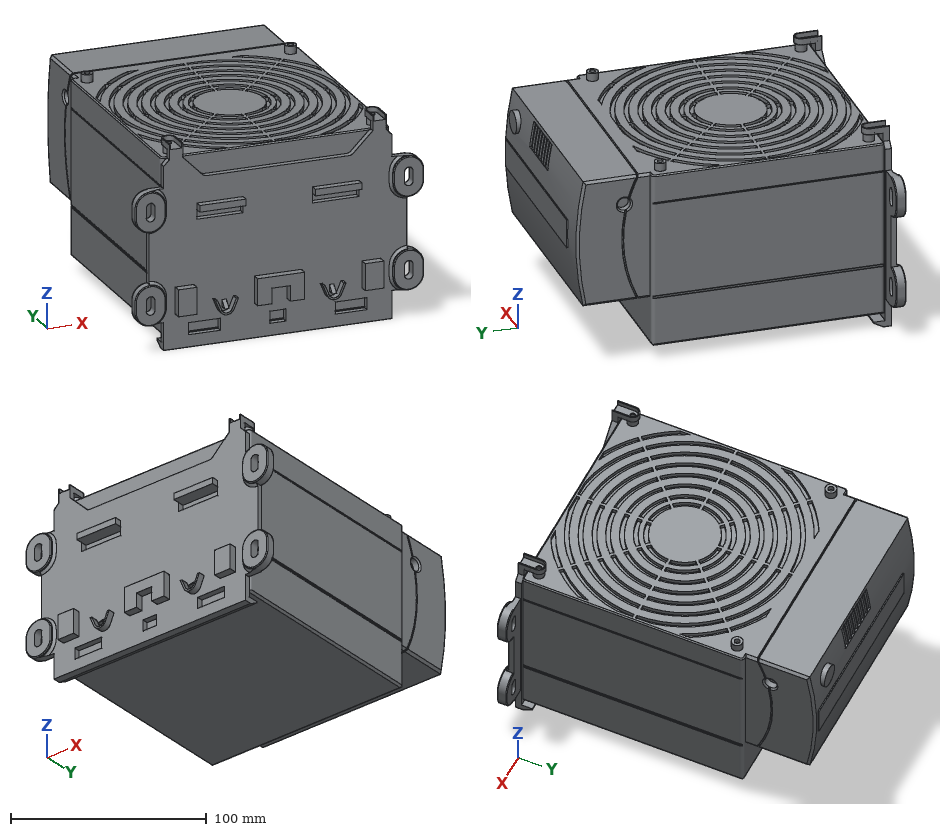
import cadquery as cq
import math


OVERALL_WIDTH = 159.0
OVERALL_LENGTH = 173.2
PAD_FRONT_Y = -8.0
BACK_Y = PAD_FRONT_Y + OVERALL_LENGTH

BODY_WIDTH = 125.7
BODY_LENGTH = 125.2
BODY_HEIGHT = 96.6
CORNER_RADIUS = 2.0
TOP_CHAMFER = 0.7
FLOOR_CHAMFER = 1.2
SEAM_DEPTH = 0.5
SEAMS = [(27.0, 1.2), (80.5, 0.5)]

COVER_WIDTH = 119.5
COVER_BOTTOM_Z = 26.3
COVER_CHAMFER = 1.4
COVER_MIDDLE_Z = (COVER_BOTTOM_Z + BODY_HEIGHT) / 2
COVER_EDGE_Y = 160.9
PANEL_THICKNESS = 0.5
COVER_CREST_Y = BACK_Y - PANEL_THICKNESS
PANEL_LEFT_X = -44.9
PANEL_RIGHT_X = 56.6
PANEL_BOTTOM_Z = 53.7
PANEL_TOP_Z = 69.3
JOINT_EDGE_Y = 131.6
JOINT_CREST_Y = 140.0
JOINT_WIDTH = 0.9
JOINT_DEPTH = 0.7
SIDE_HOLE_DIAMETER = 7.0
SIDE_HOLE_CHAMFER = 0.9
SIDE_HOLE_DEPTH = 4.3
SIDE_HOLE_Y = 139.0
SIDE_HOLE_Z = 81.0
BUTTON_DIAMETER = 12.1
BUTTON_X = 44.2
BUTTON_Z = 84.3
BUTTON_ROOT_DEPTH = 7.0
SOCKET_COUNT = 8
SOCKET_PITCH = 3.8
SOCKET_WIDTH = 3.1
SOCKET_ROW_X = 6.5
SOCKET_BOTTOM_Z = 80.5
SOCKET_TOP_Z = 94.5
SOCKET_DEPTH = 1.0

FAN_CENTER_Y = BODY_LENGTH / 2
RING_OUTER_RADII = [21.1, 26.3, 33.5, 40.5, 47.5, 54.5, 61.7, 68.6]
RING_WIDTH = 2.5
GRILLE_SIZE = 121.8
SPOKE_BAR_COUNT = 4
SPOKE_WIDTH = 1.7
GRILLE_DEPTH = 2.0
SCREW_SPACING = 112.0
SCREW_DIAMETER = 6.0
SCREW_HOLE_DIAMETER = 3.0
SCREW_HOLE_DEPTH = 2.6
SCREW_TOP_Z = 101.0

PLATE_THICKNESS = 3.5
PLATE_BOTTOM_Z = -7.3
PLATE_TOP_Z = BODY_HEIGHT
PLATE_CORNER_CHAMFER = 3.5
TAB_WIDTH = 7.5
TAB_TOP_Z = SCREW_TOP_Z + PLATE_THICKNESS
TAB_X = SCREW_SPACING / 2
TAB_HOLE_Y = FAN_CENTER_Y - SCREW_SPACING / 2
TAB_RECESS_DEPTH = 2.6
CUTOUT_BOTTOM_Z = 84.9
CUTOUT_RADIUS = 3.5
LIP_TOP_Z = -3.8
LIP_END_Y = 6.0
LIP_TIP_HEIGHT = 0.7
LIP_SLOPE_START_Y = 0.9

LUG_WIDTH = 16.8
LUG_SLOT_WIDTH = 4.7
LUG_STRAIGHT = 5.4
LUG_X = (OVERALL_WIDTH - LUG_WIDTH) / 2
LUG_LEVELS = [19.0, 70.0]
LUG_BACK_Y = -0.5
LUG_FRONT_Y = -6.0
LUG_EDGE_CHAMFER = 0.5
FLARE = 1.4
FLARE_ANGLE = 45

PAD_BOTTOM_Z = 11.8
PAD_TOP_Z = 26.5
SIDE_PAD_X = 51.5
SIDE_PAD_WIDTH = 10.2
CENTER_PAD_WIDTH = 26.0
CENTER_PAD_NOTCH_WIDTH = 10.0
CENTER_PAD_NOTCH_TOP_Z = 20.3
RIB_FRONT_Y = -7.5
HOOK_X = 31.9
HOOK_WIDTH = 25.5
HOOK_BOTTOM_Z = 67.0
HOOK_TOP_Z = 70.7
HOOK_WINDOW_BOTTOM_Z = 61.8
LOW_WINDOW_BOTTOM_Z = -0.5
LOW_WINDOW_TOP_Z = 6.0
LOW_WINDOWS = [(-40.4, 17.5), (0.0, 8.8), (40.4, 17.5)]
V_RIB_X = 29.6
V_RIB_TOP_Z = 17.3
V_RIB_BOTTOM_Z = 9.0
V_RIB_RADIUS = 4.2
V_RIB_HALF_ANGLE = math.radians(23)
V_RIB_THICKNESS = 1.0
WEDGE_WIDTH = 2.5
WEDGE_BOTTOM_Z = 12.3
WEDGE_TOP_Z = 16.1


def block(x_min, x_max, y_min, y_max, z_min, z_max):
    """Box given by its limits."""
    size = (x_max - x_min, y_max - y_min, z_max - z_min)
    return cq.Workplane("XY").box(*size, centered=False).translate((x_min, y_min, z_min))


def centered_block(x_middle, width, y_min, y_max, z_min, z_max):
    """Box given by its middle X, its width and its Y and Z limits."""
    return block(x_middle - width / 2, x_middle + width / 2, y_min, y_max, z_min, z_max)


def front_plane(y):
    """Sketch plane at the given Y: local x is X, local y is Z, extrusion goes toward -Y."""
    return cq.Workplane("XZ", origin=(0, y, 0))


def mirrored(solid):
    """The solid together with its mirror image on the other side of X = 0."""
    return solid.union(solid.mirror("YZ"))




def fan_body():
    body = centered_block(0, BODY_WIDTH, 0, BODY_LENGTH, 0, BODY_HEIGHT)
    body = body.faces("<Z").edges("<X or >X or >Y").chamfer(FLOOR_CHAMFER)
    body = body.edges("|Z").fillet(CORNER_RADIUS)
    body = body.faces(">Z").chamfer(TOP_CHAMFER)
    half_width = BODY_WIDTH / 2
    for bottom_z, height in SEAMS:
        seam = block(half_width - SEAM_DEPTH, half_width, 0, BODY_LENGTH, bottom_z, bottom_z + height)
        body = body.cut(mirrored(seam))
    return body


def bowed_slab(half_width, start_y, edge_y, crest_y):
    """Slab of the cover's height whose far face bows out from edge_y to crest_y."""
    return (
        cq.Workplane("YZ", origin=(-half_width, 0, 0))
        .moveTo(start_y, COVER_BOTTOM_Z)
        .lineTo(edge_y, COVER_BOTTOM_Z)
        .threePointArc((crest_y, COVER_MIDDLE_Z), (edge_y, BODY_HEIGHT))
        .lineTo(start_y, BODY_HEIGHT)
        .close()
        .extrude(2 * half_width)
    )


def cover_slab(inset=0.0):
    """Cover with its side edges chamfered; an inset moves its bowed face inward."""
    root_y = BODY_LENGTH - CORNER_RADIUS
    edge_y = COVER_EDGE_Y - inset
    slab = bowed_slab(COVER_WIDTH / 2, root_y, edge_y, COVER_CREST_Y - inset)
    return slab.faces("<X or >X").edges("not <Y").chamfer(COVER_CHAMFER)


def cover_joint():
    """Shallow groove that runs around the cover along a bowed line."""
    half_width = COVER_WIDTH / 2
    near_y = JOINT_EDGE_Y - JOINT_WIDTH / 2
    near_crest_y = JOINT_CREST_Y - JOINT_WIDTH / 2
    band = bowed_slab(half_width, 0, near_y + JOINT_WIDTH, near_crest_y + JOINT_WIDTH)
    band = band.cut(bowed_slab(half_width, 0, near_y, near_crest_y))
    core = centered_block(
        0,
        COVER_WIDTH - 2 * JOINT_DEPTH,
        0,
        BACK_Y,
        COVER_BOTTOM_Z + JOINT_DEPTH,
        BODY_HEIGHT - JOINT_DEPTH,
    )
    core = core.edges("|Y").chamfer(COVER_CHAMFER)
    return band.cut(core)


def side_hole():
    """Blind hole with a chamfered mouth in the -X side of the cover."""
    radius = SIDE_HOLE_DIAMETER / 2
    mouth_radius = radius + SIDE_HOLE_CHAMFER
    return (
        cq.Workplane("XY", origin=(-COVER_WIDTH / 2, SIDE_HOLE_Y, SIDE_HOLE_Z))
        .polyline(
            [
                (0, 0),
                (0, mouth_radius),
                (SIDE_HOLE_CHAMFER, radius),
                (SIDE_HOLE_DEPTH, radius),
                (SIDE_HOLE_DEPTH, 0),
            ]
        )
        .close()
        .revolve(360, (0, 0, 0), (1, 0, 0))
    )


def back_panel():
    """Thin flat panel on the crest of the cover."""
    root_y = BACK_Y - BUTTON_ROOT_DEPTH
    return block(PANEL_LEFT_X, PANEL_RIGHT_X, root_y, BACK_Y, PANEL_BOTTOM_Z, PANEL_TOP_Z)


def button():
    return (
        front_plane(BACK_Y)
        .center(BUTTON_X, BUTTON_Z)
        .circle(BUTTON_DIAMETER / 2)
        .extrude(BUTTON_ROOT_DEPTH)
    )


def sockets():
    """Row of shallow pockets that follow the bowed face of the cover."""
    row = cq.Workplane("XY")
    first_x = SOCKET_ROW_X - SOCKET_PITCH * (SOCKET_COUNT - 1) / 2
    for index in range(SOCKET_COUNT):
        x = first_x + index * SOCKET_PITCH
        socket = centered_block(x, SOCKET_WIDTH, BODY_LENGTH, BACK_Y, SOCKET_BOTTOM_Z, SOCKET_TOP_Z)
        row = row.add(socket)
    return row.combine().cut(cover_slab(SOCKET_DEPTH))


def cover():
    shape = cover_slab()
    shape = shape.cut(cover_joint())
    shape = shape.cut(mirrored(side_hole()))
    shape = shape.cut(sockets())
    return shape.union(back_panel()).union(button())


def grille():
    """Concentric slots inside a square, interrupted by bars across the full circle."""
    floor_z = BODY_HEIGHT - GRILLE_DEPTH
    top = cq.Workplane("XY", origin=(0, FAN_CENTER_Y, floor_z))
    rings = cq.Workplane("XY")
    for radius in RING_OUTER_RADII:
        rings = rings.add(top.circle(radius).circle(radius - RING_WIDTH).extrude(GRILLE_DEPTH))
    slots = rings.combine().intersect(top.rect(GRILLE_SIZE, GRILLE_SIZE).extrude(GRILLE_DEPTH))
    spoke = top.rect(2 * GRILLE_SIZE, SPOKE_WIDTH).extrude(GRILLE_DEPTH)
    axis_start = (0, FAN_CENTER_Y, 0)
    axis_end = (0, FAN_CENTER_Y, 1)
    for index in range(SPOKE_BAR_COUNT):
        angle = 180 * index / SPOKE_BAR_COUNT
        slots = slots.cut(spoke.rotate(axis_start, axis_end, angle))
    return slots


def fan_screws():
    """Four screw heads, each with a blind hole in its top."""
    height = SCREW_TOP_Z - BODY_HEIGHT
    places = cq.Workplane("XY", origin=(0, FAN_CENTER_Y, BODY_HEIGHT)).rect(
        SCREW_SPACING, SCREW_SPACING, forConstruction=True
    )
    heads = places.vertices().circle(SCREW_DIAMETER / 2).extrude(height)
    holes = (
        places.vertices()
        .circle(SCREW_HOLE_DIAMETER / 2)
        .extrude(SCREW_HOLE_DEPTH)
        .translate((0, 0, height - SCREW_HOLE_DEPTH))
    )
    return heads.cut(holes)


def make_housing():
    return fan_body().union(cover()).cut(grille()).union(fan_screws())




def plate():
    """Plate with chamfered top corners and a trapezoid cutout between the tabs."""
    shape = centered_block(0, BODY_WIDTH, -PLATE_THICKNESS, 0, PLATE_BOTTOM_Z, PLATE_TOP_Z)
    shape = shape.faces(">Z").edges("<X or >X").chamfer(PLATE_CORNER_CHAMFER)
    cutout_top = TAB_X - TAB_WIDTH / 2
    cutout_bottom = cutout_top - (PLATE_TOP_Z - CUTOUT_BOTTOM_Z)
    cutout = (
        front_plane(0)
        .polyline(
            [
                (-cutout_top, PLATE_TOP_Z),
                (-cutout_bottom, CUTOUT_BOTTOM_Z),
                (cutout_bottom, CUTOUT_BOTTOM_Z),
                (cutout_top, PLATE_TOP_Z),
            ]
        )
        .close()
        .extrude(PLATE_THICKNESS)
        .faces("<Z")
        .edges("|Y")
        .fillet(CUTOUT_RADIUS)
    )
    return shape.cut(cutout)


def wings():
    """Side extensions of the plate that carry the lugs."""
    reach = LUG_STRAIGHT / 2 + LUG_WIDTH / 2
    bottom_z = LUG_LEVELS[0] - reach
    top_z = LUG_LEVELS[1] + reach
    return centered_block(0, 2 * LUG_X, -PLATE_THICKNESS, LUG_BACK_Y, bottom_z, top_z)


def bottom_lip():
    """Hook below the housing along the lower edge of the plate."""
    return (
        cq.Workplane("YZ", origin=(-BODY_WIDTH / 2, 0, 0))
        .polyline(
            [
                (-PLATE_THICKNESS, PLATE_BOTTOM_Z),
                (LIP_SLOPE_START_Y, PLATE_BOTTOM_Z),
                (LIP_END_Y, LIP_TOP_Z - LIP_TIP_HEIGHT),
                (LIP_END_Y, LIP_TOP_Z),
                (-PLATE_THICKNESS, LIP_TOP_Z),
            ]
        )
        .close()
        .extrude(BODY_WIDTH)
    )


def tab():
    """Upright strip bent over a fan screw, with a round end, a recess and a screw hole."""
    upright = centered_block(TAB_X, TAB_WIDTH, -PLATE_THICKNESS, 0, CUTOUT_BOTTOM_Z, TAB_TOP_Z)
    arm = centered_block(TAB_X, TAB_WIDTH, -PLATE_THICKNESS, TAB_HOLE_Y, SCREW_TOP_Z, TAB_TOP_Z)
    hole_center = cq.Workplane("XY", origin=(TAB_X, TAB_HOLE_Y, SCREW_TOP_Z))
    shape = upright.union(arm).union(hole_center.circle(TAB_WIDTH / 2).extrude(PLATE_THICKNESS))
    recess_z = TAB_TOP_Z - TAB_RECESS_DEPTH
    recess = centered_block(TAB_X, SCREW_DIAMETER, -PLATE_THICKNESS, TAB_HOLE_Y, recess_z, TAB_TOP_Z)
    round_end = hole_center.circle(SCREW_DIAMETER / 2).extrude(TAB_RECESS_DEPTH)
    recess = recess.union(round_end.translate((0, 0, PLATE_THICKNESS - TAB_RECESS_DEPTH)))
    hole = hole_center.circle(SCREW_HOLE_DIAMETER / 2).extrude(PLATE_THICKNESS)
    return shape.cut(recess).cut(hole)


def upright_slot(y, z, width):
    """Upright slot outline at a lug on the +X side."""
    return front_plane(y).center(LUG_X, z).slot2D(LUG_STRAIGHT + width, width, 90)


def lug(z):
    """Raised lug, widened by a cone where it leaves the plate."""
    body = upright_slot(LUG_BACK_Y, z, LUG_WIDTH).extrude(LUG_BACK_Y - LUG_FRONT_Y)
    body = body.faces("<Y or >Y").chamfer(LUG_EDGE_CHAMFER)
    cone = upright_slot(-PLATE_THICKNESS, z, LUG_WIDTH + 2 * FLARE).extrude(FLARE, taper=FLARE_ANGLE)
    reach = LUG_STRAIGHT / 2 + LUG_WIDTH / 2
    cone_limit = block(0, LUG_X, LUG_FRONT_Y, 0, LUG_LEVELS[0] - reach, LUG_LEVELS[1] + reach)
    return body.union(cone.intersect(cone_limit))


def lug_slot(z):
    return upright_slot(0, z, LUG_SLOT_WIDTH).extrude(-LUG_FRONT_Y)


def pads():
    """Two side pads and a notched middle pad."""
    side = centered_block(SIDE_PAD_X, SIDE_PAD_WIDTH, PAD_FRONT_Y, 0, PAD_BOTTOM_Z, PAD_TOP_Z)
    middle = centered_block(0, CENTER_PAD_WIDTH, PAD_FRONT_Y, 0, PAD_BOTTOM_Z, PAD_TOP_Z)
    notch = centered_block(
        0,
        CENTER_PAD_NOTCH_WIDTH,
        PAD_FRONT_Y,
        -PLATE_THICKNESS,
        PAD_BOTTOM_Z,
        CENTER_PAD_NOTCH_TOP_Z,
    )
    return mirrored(side).union(middle.cut(notch))


def hook():
    return centered_block(HOOK_X, HOOK_WIDTH, RIB_FRONT_Y, 0, HOOK_BOTTOM_Z, HOOK_TOP_Z)


def hook_window():
    return centered_block(
        HOOK_X, HOOK_WIDTH, -PLATE_THICKNESS, 0, HOOK_WINDOW_BOTTOM_Z, HOOK_BOTTOM_Z
    )


def v_shape(radius, depth):
    """Solid V with a round bottom, centred on the V rib's arc."""
    center_z = V_RIB_BOTTOM_Z + V_RIB_RADIUS
    tangent_x = radius * math.cos(V_RIB_HALF_ANGLE)
    tangent_z = center_z - radius * math.sin(V_RIB_HALF_ANGLE)
    top_x = tangent_x + (V_RIB_TOP_Z - tangent_z) * math.tan(V_RIB_HALF_ANGLE)
    return (
        front_plane(-PLATE_THICKNESS)
        .center(V_RIB_X, 0)
        .moveTo(-top_x, V_RIB_TOP_Z)
        .lineTo(-tangent_x, tangent_z)
        .threePointArc((0, center_z - radius), (tangent_x, tangent_z))
        .lineTo(top_x, V_RIB_TOP_Z)
        .close()
        .extrude(depth)
    )


def v_rib():
    depth = -RIB_FRONT_Y - PLATE_THICKNESS
    return v_shape(V_RIB_RADIUS, depth).cut(v_shape(V_RIB_RADIUS - V_RIB_THICKNESS, depth))


def wedge():
    """Small ramp inside the V rib that rises toward its lower end."""
    return (
        cq.Workplane("YZ", origin=(V_RIB_X - WEDGE_WIDTH / 2, 0, 0))
        .polyline(
            [
                (-PLATE_THICKNESS, WEDGE_TOP_Z),
                (-PLATE_THICKNESS, WEDGE_BOTTOM_Z),
                (RIB_FRONT_Y, WEDGE_BOTTOM_Z),
            ]
        )
        .close()
        .extrude(WEDGE_WIDTH)
    )


def make_bracket():
    shape = plate().union(wings()).union(bottom_lip()).union(mirrored(tab()))
    for z in LUG_LEVELS:
        shape = shape.union(mirrored(lug(z)))
        shape = shape.cut(mirrored(lug_slot(z)))
    for x, width in LOW_WINDOWS:
        window = centered_block(
            x, width, -PLATE_THICKNESS, 0, LOW_WINDOW_BOTTOM_Z, LOW_WINDOW_TOP_Z
        )
        shape = shape.cut(window)
    shape = shape.cut(mirrored(hook_window()))
    for detail in (hook(), v_rib(), wedge()):
        shape = shape.union(mirrored(detail))
    return shape.union(pads())


housing = make_housing()
bracket = make_bracket()
result = cq.Compound.makeCompound([housing.val(), bracket.val()])